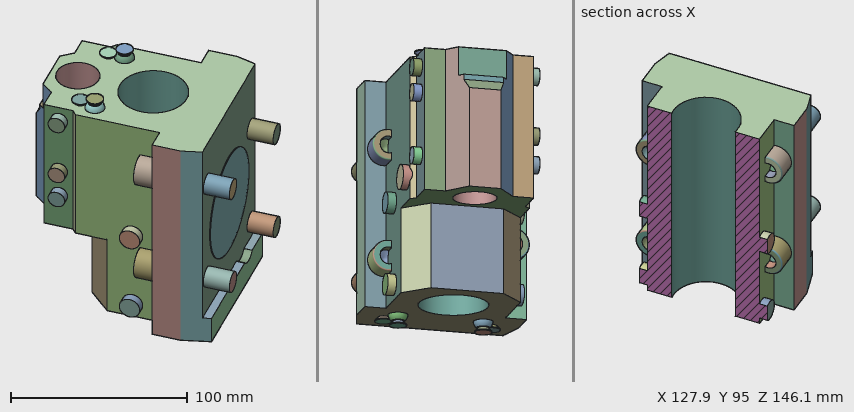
import cadquery as cq
import math

body_height = 133.5
waist_z = 50.0

front_half = 32.0
body_half = 35.0
flange_half = 47.5

nose_tip_x = -67.0
front_face_x = -54.2
shoulder_start_x = -36.8
shoulder_end_x = -34.3
lower_face_x = -29.2
lower_corner_x = -15.2
flange_face_x = 16.2
flange_taper_x = 33.3
rear_face_x = 45.3
foot_rear_x = 50.3
flange_taper_angle = 15.0

nose_tip_half = 9.2
nose_root_half = 19.7
nose_cut_x = -61.2
nose_step_x = -64.0
nose_cut_z = body_height - 16.8
nose_bevel_top_z = body_height - 19.9
nose_bevel_bottom_z = body_height - 25.4

lower_face_half = 21.3
foot_height = 16.5
foot_groove_radius = 8.0
foot_groove_width = 12.5
foot_groove_y = 19.1
pad_radius = 32.5
pad_thickness = 0.6

main_bore_diameter = 40.0
front_bore_diameter = 25.0
front_bore_x = -45.3

screw_y = 36.8
near_screw_heights = (40.6, 106.0)
far_screw_heights = (27.6, 93.0)
screw_head_x = 4.2
screw_head_radius = 9.0
screw_head_rounding = 0.7
screw_socket_radius = 5.0
screw_socket_depth = 6.0
screw_socket_tip_angle = 118.0
screw_shank_radius = 6.1
screw_end_x = 60.9

plug_protrusion = 5.0
small_plug_radius = 5.0
small_plug_x = -45.0
near_small_plug_heights = (72.3, 89.3, 124.5)
far_small_plug_heights = (72.3, 109.6, 124.5)
large_plug_radius = 6.1
large_plug_heights = (9.0, 57.3)
round_plug_radius = 7.2
round_plug_x = -28.2
round_plug_z = 64.3
round_plug_protrusion = 4.1

nozzle_rim_radius = 5.0
nozzle_rim_thickness = 0.6
tall_nozzle_height = 6.3
low_nozzle_height = 2.5
dome_height = 3.5
dome_base_radius = 5.7
dome_top_radius = 3.8
tall_nozzle_y = 25.0
top_tall_nozzle_x = -26.2
top_low_nozzle_x = -35.4
top_low_nozzle_y = 23.5
bottom_tall_nozzle_x = 27.2
bottom_low_nozzle_x = 33.6
bottom_low_nozzle_y = 31.7

embed = 1.5


def symmetric_prism(half_outline, bottom_z, top_z):
    """Extrude the outline made of the +Y half points and their mirror image."""
    mirrored = [(x, -y) for x, y in reversed(half_outline)]
    outline = cq.Workplane("XY").workplane(offset=bottom_z).polyline(half_outline + mirrored)
    return outline.close().extrude(top_z - bottom_z)


def flange_half_at(x):
    """Half width of the flange on its tapered rear flanks."""
    return flange_half - (x - flange_taper_x) * math.tan(math.radians(flange_taper_angle))


def make_flange(rear_x, top_z):
    half_outline = [
        (flange_face_x, flange_half),
        (flange_taper_x, flange_half),
        (rear_x, flange_half_at(rear_x)),
    ]
    return symmetric_prism(half_outline, 0, top_z)


def make_front_block():
    half_outline = [
        (nose_tip_x, nose_tip_half),
        (front_face_x, nose_root_half),
        (front_face_x, front_half),
        (shoulder_start_x, front_half),
        (shoulder_end_x, body_half),
        (flange_face_x, body_half),
    ]
    block = symmetric_prism(half_outline, waist_z, body_height)
    nose_relief = (
        cq.Workplane("XZ")
        .moveTo(nose_tip_x - embed, body_height)
        .lineTo(nose_cut_x, body_height)
        .lineTo(nose_cut_x, nose_cut_z)
        .lineTo(nose_step_x, nose_cut_z)
        .lineTo(nose_step_x, nose_bevel_top_z)
        .lineTo(nose_tip_x, nose_bevel_bottom_z)
        .lineTo(nose_tip_x - embed, nose_bevel_bottom_z)
        .close()
        .extrude(front_half, both=True)
    )
    return block.cut(nose_relief)


def make_lower_block():
    half_outline = [
        (lower_face_x, lower_face_half),
        (lower_corner_x, body_half),
        (flange_face_x, body_half),
    ]
    return symmetric_prism(half_outline, 0, waist_z)


def x_cylinder(radius, start_x, end_x, y, z):
    return cq.Workplane("YZ", origin=(start_x, y, z)).circle(radius).extrude(end_x - start_x)


def make_foot():
    """Foot behind the rear face, with a shallow round groove along its top."""
    rise = math.sqrt(foot_groove_radius**2 - (foot_groove_width / 2) ** 2)
    groove = x_cylinder(
        foot_groove_radius, rear_face_x, foot_rear_x, foot_groove_y, foot_height + rise
    )
    return make_flange(foot_rear_x, foot_height).cut(groove)


def make_rear_pad():
    """Thin round pad centered on the rear face."""
    pad_rear_x = rear_face_x + pad_thickness
    return x_cylinder(pad_radius, rear_face_x - embed, pad_rear_x, 0, body_height / 2)


def make_screw(y, z):
    """Head with a drill-pointed socket, and the shank beyond the rear face, of one screw."""
    head = (
        x_cylinder(screw_head_radius, screw_head_x, flange_face_x + embed, y, z)
        .faces("<X")
        .edges()
        .fillet(screw_head_rounding)
    )
    tip_depth = screw_socket_radius / math.tan(math.radians(screw_socket_tip_angle / 2))
    socket_floor_x = screw_head_x + screw_socket_depth
    socket = x_cylinder(screw_socket_radius, screw_head_x, socket_floor_x, y, z)
    socket_tip = cq.Solid.makeCone(
        screw_socket_radius,
        0,
        tip_depth,
        pnt=cq.Vector(socket_floor_x, y, z),
        dir=cq.Vector(1, 0, 0),
    )
    shank = x_cylinder(screw_shank_radius, rear_face_x - embed, screw_end_x, y, z)
    return head.cut(socket).cut(cq.Workplane(socket_tip)), shank


def make_plug(radius, x, z, wall_half, protrusion, side):
    """Round plug on the side wall; side is +1 for the +Y wall and -1 for the -Y wall."""
    start = cq.Workplane("XZ", origin=(x, side * (wall_half - embed), z))
    return start.circle(radius).extrude(-side * (protrusion + embed))


def make_nozzle(height, base_height):
    """Flared disc standing on the XY plane, with a 45 degree cone from base_height to its rim."""
    rim_bottom = height - nozzle_rim_thickness
    base_radius = nozzle_rim_radius - (rim_bottom - base_height)
    return (
        cq.Workplane("XZ")
        .moveTo(0, base_height)
        .lineTo(base_radius, base_height)
        .lineTo(nozzle_rim_radius, rim_bottom)
        .lineTo(nozzle_rim_radius, height)
        .lineTo(0, height)
        .close()
        .revolve(360, (0, 0, 0), (0, 1, 0))
    )


def make_dome():
    """Spherical zone between the dome's base and top circles."""
    center_drop = (dome_base_radius**2 - dome_top_radius**2 - dome_height**2) / (2 * dome_height)
    sphere_radius = math.hypot(dome_base_radius, center_drop)
    middle_z = dome_height / 2
    middle_radius = math.sqrt(sphere_radius**2 - (middle_z + center_drop) ** 2)
    return (
        cq.Workplane("XZ")
        .lineTo(dome_base_radius, 0)
        .threePointArc((middle_radius, middle_z), (dome_top_radius, dome_height))
        .lineTo(0, dome_height)
        .close()
        .revolve(360, (0, 0, 0), (0, 1, 0))
    )


body = (
    make_front_block()
    .union(make_lower_block())
    .union(make_flange(rear_face_x, body_height))
    .union(make_foot())
    .union(make_rear_pad())
)
for bore_x, bore_diameter in ((0, main_bore_diameter), (front_bore_x, front_bore_diameter)):
    bore = cq.Workplane("XY").center(bore_x, 0).circle(bore_diameter / 2).extrude(body_height)
    body = body.cut(bore)

side_features = (
    (-1, near_screw_heights, near_small_plug_heights),
    (1, far_screw_heights, far_small_plug_heights),
)
for side, screw_heights, small_plug_heights in side_features:
    for z in screw_heights:
        head, shank = make_screw(side * screw_y, z)
        body = body.union(head).union(shank)
    for z in small_plug_heights:
        body = body.union(
            make_plug(small_plug_radius, small_plug_x, z, front_half, plug_protrusion, side)
        )
    for z in large_plug_heights:
        body = body.union(make_plug(large_plug_radius, 0, z, body_half, plug_protrusion, side))
body = body.union(
    make_plug(round_plug_radius, round_plug_x, round_plug_z, body_half, round_plug_protrusion, 1)
)

tall_nozzle = make_nozzle(tall_nozzle_height, dome_height).union(make_dome())
low_nozzle = make_nozzle(low_nozzle_height, 0)
for side in (-1, 1):
    top_places = (
        (tall_nozzle, top_tall_nozzle_x, tall_nozzle_y),
        (low_nozzle, top_low_nozzle_x, top_low_nozzle_y),
    )
    for nozzle, x, y in top_places:
        body = body.union(nozzle.translate((x, side * y, body_height)))
    bottom_places = (
        (tall_nozzle, bottom_tall_nozzle_x, tall_nozzle_y),
        (low_nozzle, bottom_low_nozzle_x, bottom_low_nozzle_y),
    )
    for nozzle, x, y in bottom_places:
        body = body.union(nozzle.mirror("XY").translate((x, side * y, 0)))

result = body